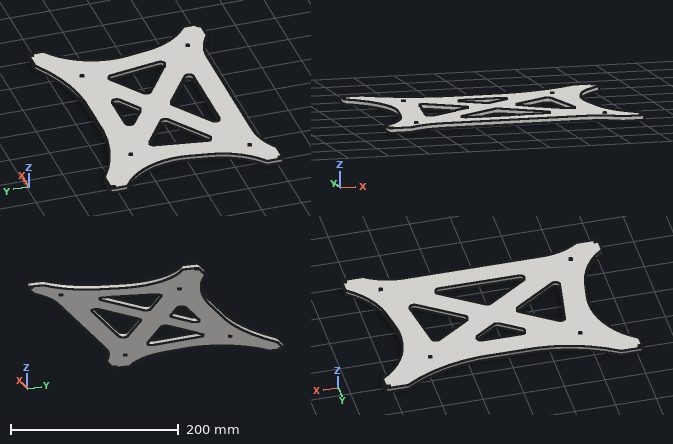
import cadquery as cq
import math

length = 316
width = 216.0
thickness = 6.0
half_length = length / 2
half_width = width / 2

tip_inner_x = 130.8
tip_corner_radius = 3.0
back_edge_y = 77.0
back_flat_half = 34.8
back_arc_mid = (88.0, 87.2)
front_edge_y = -93.2
front_flat_half = 83.7
front_arc_mid = (110.3, -97.3)
back_tip_y = 88.2
front_tip_y = -87.2
side_back_arc_mid = (133.5, 64.5)
side_flat_back = (117.5, -2.5)
side_flat_front = (122.5, -32.0)
side_front_arc_mid = (136.5, -65.0)

brace_slope = 0.685
brace_half_height = 18.0
back_window_y = 46.5
front_window_y = -63.5
side_window_x = 86.5
side_window_lean = 0.165
window_corner_radius = 5.5

tip_hole_diameter = 3.5
tip_hole_x = 154.5
tip_hole_y = 104.5
plate_hole_diameter = 3.2
plate_holes = [(92.3, 62.0), (117, -79)]


def make_half_plate():
    return (
        cq.Workplane("XY")
        .moveTo(0, back_edge_y)
        .lineTo(back_flat_half, back_edge_y)
        .threePointArc(back_arc_mid, (tip_inner_x, half_width))
        .lineTo(half_length, half_width)
        .lineTo(half_length, back_tip_y)
        .threePointArc(side_back_arc_mid, side_flat_back)
        .lineTo(*side_flat_front)
        .threePointArc(side_front_arc_mid, (half_length, front_tip_y))
        .lineTo(half_length, -half_width)
        .lineTo(tip_inner_x, -half_width)
        .threePointArc(front_arc_mid, (front_flat_half, front_edge_y))
        .lineTo(0, front_edge_y)
        .close()
        .extrude(thickness)
    )


def make_plate():
    half = make_half_plate().edges("|Z and (>X or >Y or <Y)").fillet(tip_corner_radius)
    return half.union(half.mirror("YZ")).clean()


def make_window(corners):
    return (
        cq.Workplane("XY")
        .polyline(corners)
        .close()
        .extrude(thickness)
        .edges("|Z")
        .fillet(window_corner_radius)
    )


def end_window(edge_y):
    """Triangle between the braces, with its base along a long plate edge."""
    half_base = (abs(edge_y) - brace_half_height) / brace_slope
    apex_y = math.copysign(brace_half_height, edge_y)
    return make_window([(-half_base, edge_y), (half_base, edge_y), (0, apex_y)])


def side_window():
    """Triangle between the braces on the +X side, with a leaning outer edge."""
    def outer_corner(direction):
        x = (side_window_x + direction * side_window_lean * brace_half_height) / (
            1 + direction * side_window_lean * brace_slope
        )
        return (x, direction * (brace_slope * x - brace_half_height))

    inner_corner = (brace_half_height / brace_slope, 0)
    return make_window([inner_corner, outer_corner(1), outer_corner(-1)])


def make_holes(points, diameter):
    """Cutters for through holes at the given +X points and their mirror images."""
    mirrored = [(-x, y) for x, y in points]
    return cq.Workplane("XY").pushPoints(points + mirrored).circle(diameter / 2).extrude(thickness)


tip_holes = [(tip_hole_x, tip_hole_y), (tip_hole_x, -tip_hole_y)]
right_window = side_window()

result = (
    make_plate()
    .cut(end_window(back_window_y))
    .cut(end_window(front_window_y))
    .cut(right_window)
    .cut(right_window.mirror("YZ"))
    .cut(make_holes(tip_holes, tip_hole_diameter))
    .cut(make_holes(plate_holes, plate_hole_diameter))
)